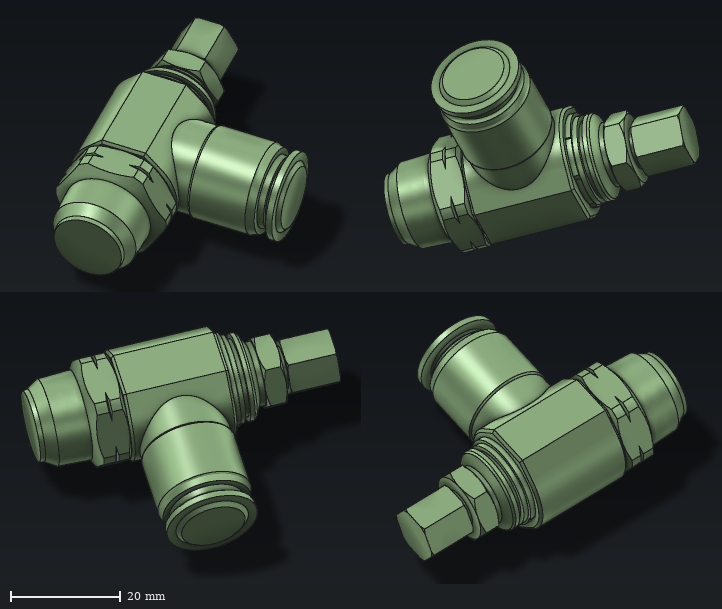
import cadquery as cq
import math


COS_30 = math.cos(math.radians(30))
TAN_30 = math.tan(math.radians(30))

total_length = 57.5
thread_end_y = 9.45
body_start_y = 16.45
body_end_y = 36.45
clip_end_y = 37.55
collar_end_y = 42.0
locknut_start_y = 43.05
locknut_end_y = 47.1
knob_start_y = 48.0

thread_radius = 8.5
thread_relief_start_y = 8.5
thread_middle_radius = 8.4
thread_middle_y = 6.1
thread_nose_radius = 8.3
thread_nose_y = 3.15
tip_root_radius = 6.9
tip_root_y = 0.9
tip_radius = 6.7

body_hex_flats = 20.0
body_hex_radius = 11.0
body_hex_lower_y = 10.85
body_hex_upper_y = 15.75
body_hex_upper_radius = 9.9
mark_groove_y = 13.45
mark_groove_depth = 0.65
mark_groove_width = 0.6

body_height = 21.0
body_half_width = 10.6
body_chamfer = 0.5

clip_radius = 9.0
clip_arm_radius = 8.75
clip_core_radius = 8.2
clip_shoulder_z = -1.65
clip_tip_z = -7.4

collar_radius = 8.35
collar_groove_radius = 7.35
collar_groove_start_y = 38.6
collar_groove_end_y = 39.55
collar_edge_y = 40.4
collar_shoulder_radius = 8.05
collar_shoulder_y = 40.9
collar_neck_radius = 6.1

locknut_flats = 13.0
locknut_face_radius = 6.5
screw_radius = 3.95
knob_flats = 10.0
knob_face_radius = 5.35

port_y = 26.45
port_neck_radius = 8.6
port_neck_end_x = 12.35
port_radius = 8.9
port_start_x = 12.75
port_end_x = 23.85
port_edge_radius = 8.7
port_edge_x = 24.25
port_face_radius = 8.35
port_face_x = 25.5
sleeve_radius = 7.15
sleeve_end_radius = 6.95
sleeve_end_x = 26.75
ring_neck_radius = 6.05
ring_cone_x = 27.35
ring_cone_radius = 6.45
flange_start_x = 27.85
flange_radius = 8.6
flange_end_x = 29.1
flange_face_radius = 6.9
port_tip_x = 29.85


def turned_on_stem(profile):
    """Solid of revolution about Y from (radius, y) points, closed along the axis."""
    start_y = profile[0][1]
    end_y = profile[-1][1]
    points = [(0, start_y)] + profile + [(0, end_y)]
    return cq.Workplane("XY").polyline(points).close().revolve(360, (0, 0), (0, 1))


def turned_on_port(profile):
    """Solid of revolution about the port axis from (x, radius) points."""
    points = [(profile[0][0], 0)] + profile + [(profile[-1][0], 0)]
    port = cq.Workplane("XY").polyline(points).close().revolve(360, (0, 0), (1, 0))
    return port.translate((0, port_y, 0))


def stem_cylinder(radius, start_y, end_y):
    return turned_on_stem([(radius, start_y), (radius, end_y)])


def hex_prism(across_flats, start_y, end_y):
    """Hexagonal prism along Y with two flats facing +Z and -Z."""
    hexagon = cq.Workplane("XZ", origin=(0, start_y, 0)).polygon(6, across_flats / COS_30)
    return hexagon.extrude(start_y - end_y)


def chamfered_hex(across_flats, face_radius, start_y, end_y):
    """Hexagonal prism whose corners are turned off at 30 degrees at both ends."""
    corner_radius = across_flats / 2 / COS_30
    bevel = (corner_radius - face_radius) * TAN_30
    envelope = turned_on_stem([
        (face_radius, start_y),
        (corner_radius, start_y + bevel),
        (corner_radius, end_y - bevel),
        (face_radius, end_y),
    ])
    return hex_prism(across_flats, start_y, end_y).intersect(envelope)


def make_thread():
    return turned_on_stem([
        (tip_radius, 0),
        (tip_root_radius, tip_root_y),
        (thread_nose_radius, thread_nose_y),
        (thread_middle_radius, thread_middle_y),
        (thread_radius, thread_relief_start_y),
        (thread_radius, thread_end_y),
    ])


def make_body_hex():
    """Hex with a conical underside and a V groove around its trimmed corners."""
    envelope = turned_on_stem([
        (thread_radius, thread_end_y),
        (body_hex_radius, body_hex_lower_y),
        (body_hex_radius, mark_groove_y - mark_groove_width / 2),
        (body_hex_radius - mark_groove_depth, mark_groove_y),
        (body_hex_radius, mark_groove_y + mark_groove_width / 2),
        (body_hex_radius, body_hex_upper_y),
        (body_hex_upper_radius, body_start_y),
    ])
    return hex_prism(body_hex_flats, thread_end_y, body_start_y).intersect(envelope)


def make_body():
    """Prism with flat top and bottom, 45 degree facets, and rounded sides."""
    radius = body_height / 2
    flat_half_width = radius * math.tan(math.radians(22.5))
    tangent = radius * math.cos(math.radians(45))
    section = (
        cq.Workplane("XZ", origin=(0, body_start_y, 0))
        .moveTo(-flat_half_width, radius)
        .lineTo(flat_half_width, radius)
        .lineTo(tangent, tangent)
        .threePointArc((body_half_width, 0), (tangent, -tangent))
        .lineTo(flat_half_width, -radius)
        .lineTo(-flat_half_width, -radius)
        .lineTo(-tangent, -tangent)
        .threePointArc((-body_half_width, 0), (-tangent, tangent))
        .close()
    )
    return section.extrude(body_start_y - body_end_y).faces("<Y or >Y").chamfer(body_chamfer)


def make_clip():
    """Open clip: full ring above its shoulders, thinner arms below, gap at the bottom."""
    def part_above(radius, lowest_z):
        ring = stem_cylinder(radius, body_end_y, clip_end_y)
        height = radius - lowest_z
        keep = cq.Workplane("XY").box(2 * radius, total_length, height, centered=(True, False, False))
        return ring.intersect(keep.translate((0, 0, lowest_z)))

    core = stem_cylinder(clip_core_radius, body_end_y, clip_end_y)
    arms = part_above(clip_arm_radius, clip_tip_z)
    return core.union(arms).union(part_above(clip_radius, clip_shoulder_z))


def make_collar():
    return turned_on_stem([
        (collar_radius, clip_end_y),
        (collar_radius, collar_groove_start_y),
        (collar_groove_radius, collar_groove_start_y),
        (collar_groove_radius, collar_groove_end_y),
        (collar_radius, collar_groove_end_y),
        (collar_radius, collar_edge_y),
        (collar_shoulder_radius, collar_shoulder_y),
        (collar_neck_radius, collar_end_y),
        (collar_neck_radius, locknut_start_y),
    ])


def make_adjuster():
    """Locknut, the bare length of screw above it, and the hexagonal knob."""
    locknut = chamfered_hex(locknut_flats, locknut_face_radius, locknut_start_y, locknut_end_y)
    screw = stem_cylinder(screw_radius, locknut_end_y, knob_start_y)
    knob = chamfered_hex(knob_flats, knob_face_radius, knob_start_y, total_length)
    return locknut.union(screw).union(knob)


def make_port():
    return turned_on_port([
        (0, port_neck_radius),
        (port_neck_end_x, port_neck_radius),
        (port_start_x, port_radius),
        (port_end_x, port_radius),
        (port_edge_x, port_edge_radius),
        (port_face_x, port_face_radius),
        (port_face_x, sleeve_radius),
        (sleeve_end_x, sleeve_end_radius),
        (sleeve_end_x, ring_neck_radius),
        (ring_cone_x, ring_neck_radius),
        (flange_start_x, ring_cone_radius),
        (flange_start_x, flange_radius),
        (flange_end_x, flange_radius),
        (flange_end_x, flange_face_radius),
        (port_tip_x, ring_neck_radius),
    ])


result = (
    make_thread()
    .union(make_body_hex())
    .union(make_body())
    .union(make_clip())
    .union(make_collar())
    .union(make_adjuster())
    .union(make_port())
)